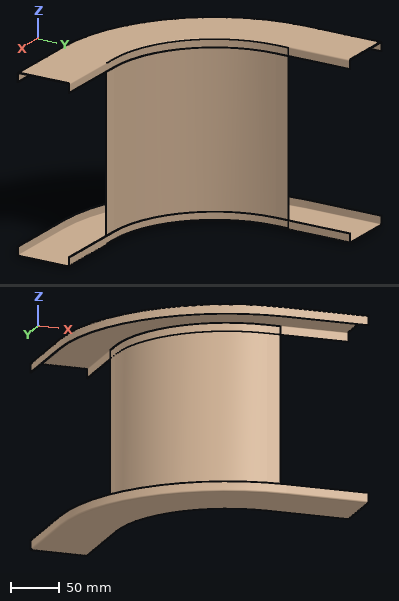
import cadquery as cq
import math

overall_width = 273.8
overall_height = 203.0

sheet = 1.0
channel_width = 63.0
flange_height = 11.0
bend_radius = 183.7
leg_length = overall_width - bend_radius
fold_inside = sheet
fold_outside = fold_inside + sheet

wall_straight = 15.0
wall_far = channel_width - sheet
wall_near = wall_far - sheet
wall_base = sheet + fold_inside
wall_height = overall_height - 2 * wall_base


def curved_strip(near, far, leg, height):
    """Upright strip following the track, between two distances from its convex side."""
    center = bend_radius
    end = center + leg
    near_mid = center - (bend_radius - near) * math.sqrt(0.5)
    far_mid = center - (bend_radius - far) * math.sqrt(0.5)
    return (
        cq.Workplane("XY")
        .moveTo(near, end)
        .lineTo(near, center)
        .threePointArc((near_mid, near_mid), (center, near))
        .lineTo(end, near)
        .lineTo(end, far)
        .lineTo(center, far)
        .threePointArc((far_mid, far_mid), (far, center))
        .lineTo(far, end)
        .close()
        .extrude(height)
    )


def round_long_bottom_edges(strip, radius):
    """Fillet the bottom edges that run along the strip, leaving its two ends square."""
    long_edges = strip.faces("<Z").edges().edges("not(>X or >Y)")
    return long_edges.fillet(radius)


def make_channel():
    """Channel with its web at Z = 0 and both flanges pointing up."""
    outside = curved_strip(0, channel_width, leg_length, flange_height)
    outside = round_long_bottom_edges(outside, fold_outside)
    cavity = curved_strip(sheet, channel_width - sheet, leg_length, flange_height)
    cavity = round_long_bottom_edges(cavity, fold_inside).translate((0, 0, sheet))
    return outside.cut(cavity)


def make_wall():
    """Thin curved wall reaching from one channel's fold to the other's."""
    wall = curved_strip(wall_near, wall_far, wall_straight, wall_height)
    return wall.translate((0, 0, wall_base))


def make_channels():
    """Lower channel opening upward and its mirror image opening downward."""
    channels = []
    for faces_down in (False, True):
        channel = make_channel()
        if faces_down:
            channel = channel.mirror("XY").translate((0, 0, overall_height))
        channels.append(channel.val())
    return channels


channels = make_channels()
wall = make_wall()

result = cq.Compound.makeCompound([*channels, wall.val()])